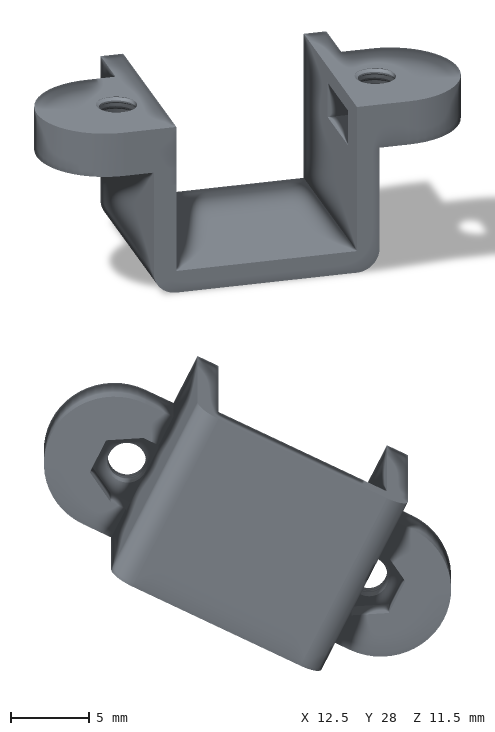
import cadquery as cq
import math

length = 12.5
inner_width = 12.0
wall = 1.5
height = 11.5
bottom_radius = 1.5
outer_width = inner_width + 2 * wall

tab_width = 9.0
tab_thickness = 3.0
overall_width = 28.0
tab_radius = tab_width / 2
tab_tip = overall_width / 2
tab_x = length - tab_radius

hole_y = 8.6
minor_radius = 1.22
major_radius = 1.45
pitch = 0.4
thread_turns = 5
turns_above_top = 1
groove_root_width = 0.02
flank_angle = 30.0
root_angle = 230.0
groove_overlap = 0.1

nut_corners = 4.75
pocket_floor = 8.0
pocket_height = 2.4
nut_side = nut_corners / 2
nut_flats = nut_side * math.sqrt(3)


def make_channel():
    outside = (
        cq.Workplane("XY")
        .box(length, outer_width, height, centered=(False, True, False))
        .edges("|X and <Z")
        .fillet(bottom_radius)
    )
    inside = (
        cq.Workplane("XY", origin=(0, 0, wall))
        .box(length, inner_width, height, centered=(False, True, False))
    )
    return outside.cut(inside)


def make_tab():
    root_y = inner_width / 2 + wall / 2
    shoulder_y = tab_tip - tab_radius
    return (
        cq.Workplane("XY", origin=(0, 0, height - tab_thickness))
        .moveTo(tab_x - tab_radius, root_y)
        .lineTo(tab_x - tab_radius, shoulder_y)
        .threePointArc((tab_x, tab_tip), (tab_x + tab_radius, shoulder_y))
        .lineTo(tab_x + tab_radius, root_y)
        .close()
        .extrude(tab_thickness)
    )


def make_nut_pocket():
    entry_y = inner_width / 2 - wall / 2
    far_flat_y = hole_y + nut_flats / 2
    return (
        cq.Workplane("XY", origin=(tab_x, 0, pocket_floor))
        .moveTo(-nut_corners / 2, entry_y)
        .lineTo(-nut_corners / 2, hole_y)
        .lineTo(-nut_side / 2, far_flat_y)
        .lineTo(nut_side / 2, far_flat_y)
        .lineTo(nut_corners / 2, hole_y)
        .lineTo(nut_corners / 2, entry_y)
        .close()
        .extrude(pocket_height)
    )


def make_bore():
    return (
        cq.Workplane("XY", origin=(tab_x, hole_y, pocket_floor))
        .circle(minor_radius)
        .extrude(height - pocket_floor)
    )


def make_thread_groove():
    """Right-handed helical groove around the Z axis, at the height it has in the part."""
    turns_below_top = thread_turns - turns_above_top
    start_z = height - pitch * (turns_below_top + root_angle / 360)
    base_radius = minor_radius - groove_overlap
    half_root = groove_root_width / 2
    half_base = half_root + (major_radius - base_radius) * math.tan(math.radians(flank_angle))
    helix_radius = (minor_radius + major_radius) / 2
    helix = cq.Wire.makeHelix(pitch, pitch * thread_turns, helix_radius, cq.Vector(0, 0, start_z))
    groove = (
        cq.Workplane("XZ")
        .moveTo(base_radius, start_z - half_base)
        .lineTo(major_radius, start_z - half_root)
        .lineTo(major_radius, start_z + half_root)
        .lineTo(base_radius, start_z + half_base)
        .close()
        .sweep(cq.Workplane(obj=helix), isFrenet=True)
    )
    core = cq.Workplane("XY").circle(minor_radius).extrude(height + 2 * turns_above_top * pitch)
    return groove.cut(core)


def on_both_sides(shape):
    return [shape, shape.mirror("XZ")]


result = make_channel()
for tab in on_both_sides(make_tab()):
    result = result.union(tab)
for pocket in on_both_sides(make_nut_pocket()):
    result = result.cut(pocket)
for bore in on_both_sides(make_bore()):
    result = result.cut(bore)

thread_groove = make_thread_groove()
for side_y in (-hole_y, hole_y):
    result = result.cut(thread_groove.translate((tab_x, side_y, 0)))